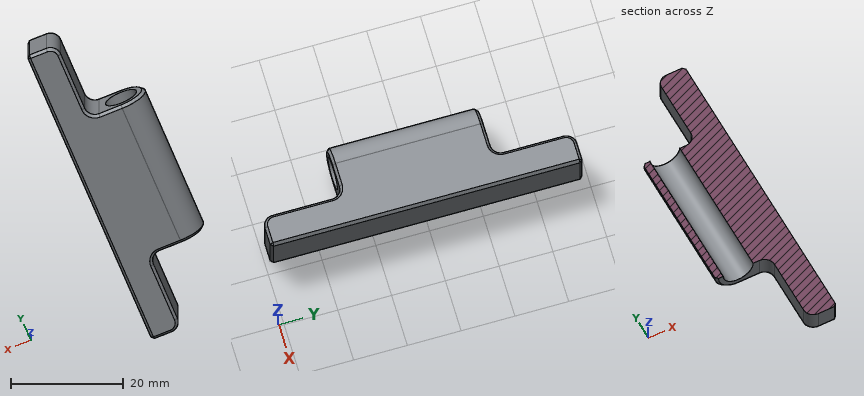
import cadquery as cq

length = 58.0
depth = 16.5
height = 9.0
bar_depth = 5.75
barrel_length = 28.0
bore_diameter = 6.0
inner_radius = 2.0
outer_radius = 2.0
edge_chamfer = 0.5

barrel_radius = height / 2
back_x = depth / 2
front_x = -depth / 2
bar_front_x = back_x - bar_depth
barrel_axis_x = front_x + barrel_radius


def make_bar():
    """Long bar with its two front corners rounded."""
    bar = cq.Workplane("XY").box(bar_depth, length, height)
    bar = bar.translate((back_x - bar_depth / 2, 0, 0))
    return bar.edges("|Z and <X").fillet(outer_radius)


def make_barrel():
    """Hinge barrel: a round nose running straight back into the bar."""
    return (
        cq.Workplane("XZ", origin=(0, barrel_length / 2, 0))
        .moveTo(back_x, barrel_radius)
        .lineTo(barrel_axis_x, barrel_radius)
        .threePointArc((front_x, 0), (barrel_axis_x, -barrel_radius))
        .lineTo(back_x, -barrel_radius)
        .close()
        .extrude(barrel_length)
    )


def blend_inner_corners(body):
    """Round the corners where the barrel ends meet the bar."""
    corners = cq.selectors.BoxSelector(
        (bar_front_x - edge_chamfer, -length, -height),
        (bar_front_x + edge_chamfer, length, height),
    )
    barrel_span = cq.selectors.BoxSelector(
        (-depth, -barrel_length / 2 - edge_chamfer, -height),
        (depth, barrel_length / 2 + edge_chamfer, height),
    )
    return body.edges("|Z").edges(corners).edges(barrel_span).fillet(inner_radius)


def make_bore():
    """Pin hole through the full barrel."""
    return (
        cq.Workplane("XZ", origin=(barrel_axis_x, barrel_length / 2, 0))
        .circle(bore_diameter / 2)
        .extrude(barrel_length)
    )


body = blend_inner_corners(make_bar().union(make_barrel()))
outline_edges = body.faces(">Z or <Z").edges("not (|Y and <X)")
back_corners = body.edges("|Z and >X")
body = outline_edges.add(back_corners).chamfer(edge_chamfer)
result = body.cut(make_bore())